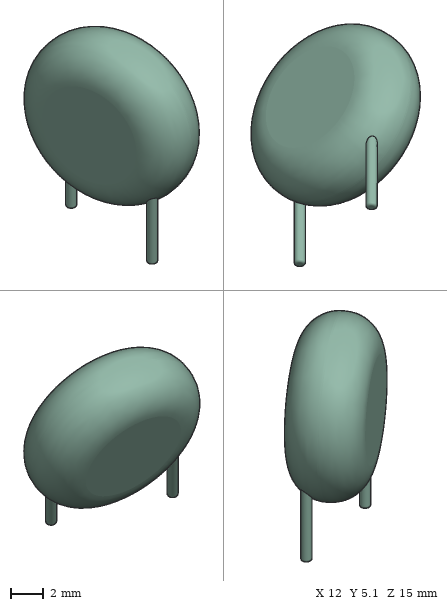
import cadquery as cq

body_diameter = 12.0
body_thickness = 5.1
rim_width = 0.124
edge_radius = (body_thickness - rim_width) / 2
body_radius = body_diameter / 2

lead_diameter = 0.72
lead_pitch_x = 7.5
lead_pitch_y = 2.3
lead_length_below_body = 3.03
lead_tip_radius = lead_diameter / 4
lead_top_z = body_radius / 2


def make_body():
    """Disc with fully rounded edges around both flat faces."""
    disc = (
        cq.Workplane("XZ", origin=(0, 0, body_radius))
        .circle(body_radius)
        .extrude(body_thickness / 2, both=True)
    )
    return disc.edges("%CIRCLE").fillet(edge_radius)


def make_lead(x, y):
    """Vertical round lead with a rounded lower tip."""
    return (
        cq.Workplane("XY", origin=(x, y, -lead_length_below_body))
        .circle(lead_diameter / 2)
        .extrude(lead_length_below_body + lead_top_z)
        .faces("<Z")
        .edges()
        .fillet(lead_tip_radius)
    )


result = make_body()
for side in (-1, 1):
    lead = make_lead(side * lead_pitch_x / 2, -side * lead_pitch_y / 2)
    result = result.union(lead)